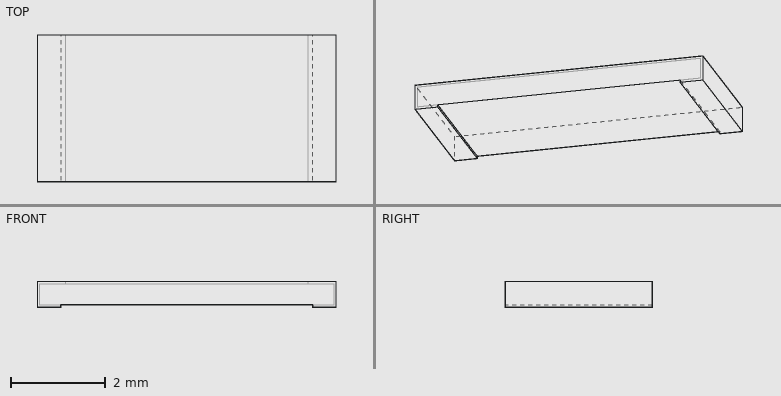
import cadquery as cq

length = 6.3
width = 3.1
height = 0.55

layer = 0.05
top_lap = 0.6
bottom_lap = 0.5


def full_width_block(block_length, block_height, base_z):
    """Block across the whole width, centred in X and Y, with its underside at base_z."""
    block = cq.Workplane("XY").box(block_length, width, block_height, centered=(True, True, False))
    return block.translate((0, 0, base_z))


def end_terminal(end):
    """C-shaped terminal wrapped around the -X end (end = -1) or the +X end (end = 1)."""
    outer_x = end * length / 2
    inner_x = outer_x - end * layer
    top_x = outer_x - end * top_lap
    bottom_x = outer_x - end * bottom_lap
    profile = [
        (outer_x, 0),
        (bottom_x, 0),
        (bottom_x, layer),
        (inner_x, layer),
        (inner_x, height - layer),
        (top_x, height - layer),
        (top_x, height),
        (outer_x, height),
    ]
    return cq.Workplane("XZ").polyline(profile).close().extrude(width / 2, both=True)


core = full_width_block(length - 2 * layer, height - 2 * layer, layer)
coating = full_width_block(length - 2 * top_lap, layer, height - layer)

result = core.union(coating, clean=False)
for end in (-1, 1):
    result = result.union(end_terminal(end), clean=False)